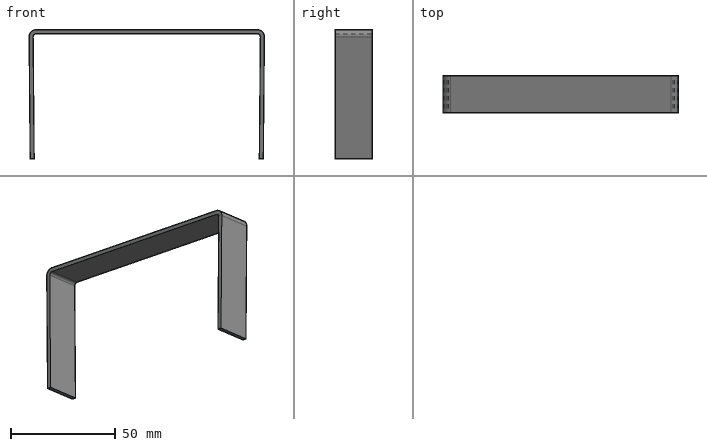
import cadquery as cq
import math

length = 113.0
width = 18.0
height = 62.0
thickness = 2.0
outer_radius = 3.5
leg_lean = 0.51

inner_radius = outer_radius - thickness
half_length = length / 2

bend_center_x = half_length - outer_radius
bend_center_z = height - outer_radius
lean_angle = math.atan2(leg_lean, bend_center_z)
bend_end_angle = -lean_angle
bend_middle_angle = (math.pi / 2 + bend_end_angle) / 2


def bend_point(radius, angle, side):
    """Point on a bend, with side = 1 for the +X bend and -1 for the -X bend."""
    x = bend_center_x + radius * math.cos(angle)
    z = bend_center_z + radius * math.sin(angle)
    return (side * x, z)


def foot_point(radius, side):
    """Where the leg face tangent to a bend of this radius reaches the base plane."""
    x = bend_center_x + radius / math.cos(lean_angle) - bend_center_z * math.tan(lean_angle)
    return (side * x, 0)


def leg_face_points(radius, side):
    """Foot, bend end, bend middle and bend start of one face of a leg."""
    angles = (bend_end_angle, bend_middle_angle, math.pi / 2)
    return [foot_point(radius, side)] + [bend_point(radius, angle, side) for angle in angles]


def trace_face(profile, radius, start_side):
    """Draw one face of the strip from the foot on start_side to the other foot."""
    _, leg_top, middle, top_start = leg_face_points(radius, start_side)
    far_foot, far_leg_top, far_middle, top_end = leg_face_points(radius, -start_side)
    return (
        profile.lineTo(*leg_top)
        .threePointArc(middle, top_start)
        .lineTo(*top_end)
        .threePointArc(far_middle, far_leg_top)
        .lineTo(*far_foot)
    )


profile = cq.Workplane("XZ").moveTo(*foot_point(outer_radius, -1))
profile = trace_face(profile, outer_radius, -1)
profile = profile.lineTo(*foot_point(inner_radius, 1))
profile = trace_face(profile, inner_radius, 1).close()

result = profile.extrude(width / 2, both=True)